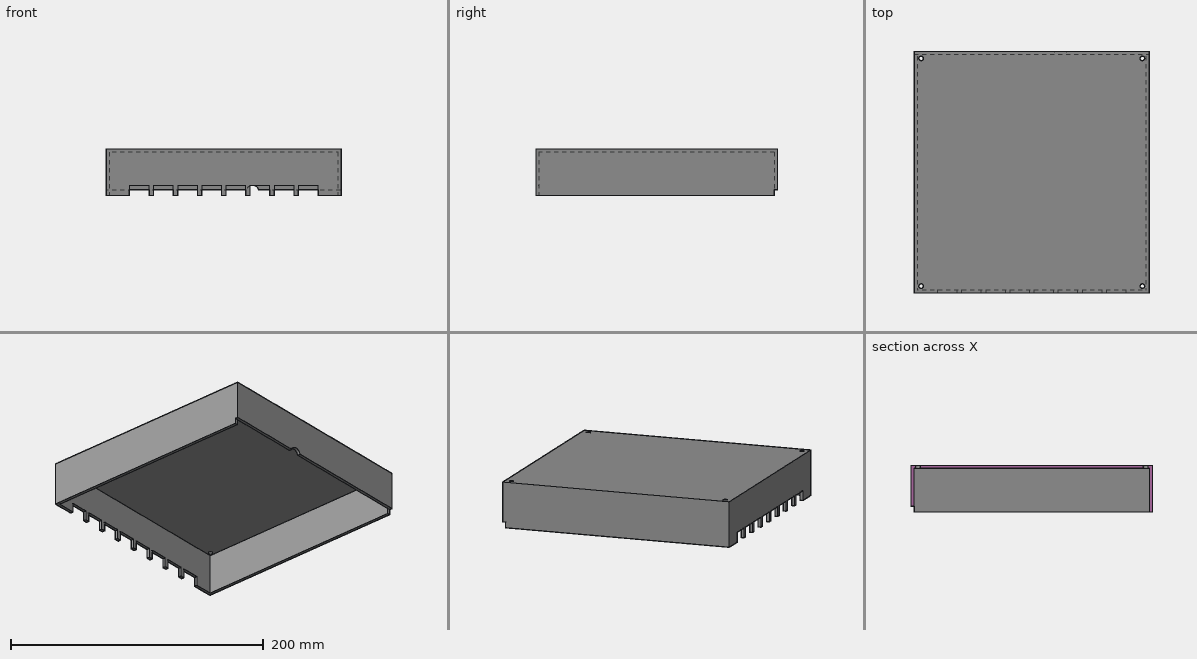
import cadquery as cq

WIDTH = 186.0
DEPTH = 191.2
HEIGHT = 37.0
WALL = 2.5

SLOT_COUNT = 8
SLOT_ROW_LENGTH = 149.1
SLOT_HEIGHT = 8.0
POST_WIDTH = 3.6
SLOT_WIDTH = (SLOT_ROW_LENGTH - (SLOT_COUNT - 1) * POST_WIDTH) / SLOT_COUNT
SLOT_PITCH = SLOT_WIDTH + POST_WIDTH

BACK_GAP = 4.5
CABLE_NOTCH_RADIUS = 5.0
CABLE_NOTCH_X = 22.8
CABLE_NOTCH_Z = 3.3

HOLE_DIAMETER = 3.5
HOLE_INSET = 5.5

FRONT_FACE = -DEPTH / 2
BACK_FACE = DEPTH / 2
FRONT_WALL_MIDDLE = FRONT_FACE + WALL / 2
BACK_WALL_MIDDLE = BACK_FACE - WALL / 2


def make_shell():
    """Box with a closed top and an open bottom."""
    block = cq.Workplane("XY").box(WIDTH, DEPTH, HEIGHT, centered=(True, True, False))
    return block.faces("<Z").shell(-WALL)


def make_front_slots():
    """Evenly spaced cutters that leave narrow posts between the slots."""
    return (
        cq.Workplane("XY")
        .center(0, FRONT_WALL_MIDDLE)
        .rarray(SLOT_PITCH, 2, SLOT_COUNT, 1)
        .rect(SLOT_WIDTH, WALL)
        .extrude(SLOT_HEIGHT)
    )


def make_back_gap():
    """Full-width cutter that shortens the back wall."""
    return cq.Workplane("XY").center(0, BACK_WALL_MIDDLE).rect(WIDTH, WALL).extrude(BACK_GAP)


def make_cable_notch():
    """Cylinder along Y through the back wall."""
    return (
        cq.Workplane("XZ", origin=(CABLE_NOTCH_X, BACK_FACE, CABLE_NOTCH_Z))
        .circle(CABLE_NOTCH_RADIUS)
        .extrude(WALL)
    )


def make_corner_holes():
    """Four vertical cylinders through the top plate."""
    return (
        cq.Workplane("XY", origin=(0, 0, HEIGHT - WALL))
        .rect(WIDTH - 2 * HOLE_INSET, DEPTH - 2 * HOLE_INSET, forConstruction=True)
        .vertices()
        .circle(HOLE_DIAMETER / 2)
        .extrude(WALL)
    )


result = (
    make_shell()
    .cut(make_front_slots())
    .cut(make_back_gap())
    .cut(make_cable_notch())
    .cut(make_corner_holes())
)